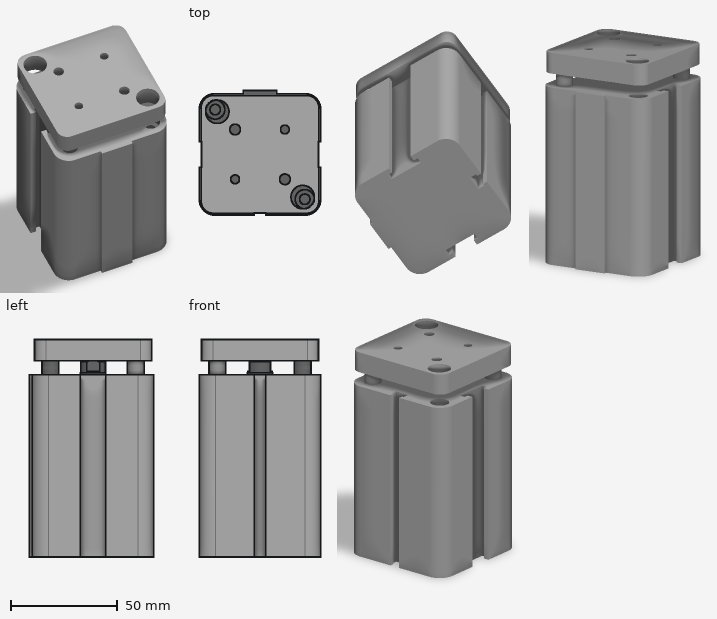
import cadquery as cq


HOUSING_SIDE = 57.0
HOUSING_HEIGHT = 85.5
HOUSING_CORNER_RADIUS = 7.5
RAIL_WIDTH = 15.7
RAIL_HEIGHT = 1.5

SLOT_DEPTH = 5.5
SIDE_SLOT_OPENING = 12.0
SIDE_SLOT_INNER_WIDTH = 16.5
SIDE_SLOT_LIP = 2.7
FRONT_SLOT_OPENING = 5.2
FRONT_SLOT_INNER_WIDTH = 7.2
FRONT_SLOT_LIP = 2.2

MOUNT_OFFSET = 21.0
MOUNT_HOLE_DIAMETER = 4.9
MOUNT_HOLE_DEPTH = 14.5
COUNTERBORE_DIAMETER = 9.0
COUNTERBORE_DEPTH = 5.5

PLATE_SIDE = 55.0
PLATE_THICKNESS = 10.0
PLATE_CORNER_RADIUS = 5.3
PLATE_GAP = 6.5
PLATE_BOTTOM = HOUSING_HEIGHT + PLATE_GAP
BOLT_CIRCLE_DIAMETER = 33.0
BOLT_OFFSET = BOLT_CIRCLE_DIAMETER / 2 / 2**0.5
THREADED_HOLE_DIAMETER = 5.0
DOWEL_HOLE_DIAMETER = 4.1

GUIDE_OFFSET = 20.0
GUIDE_ROD_DIAMETER = 8.0
ACCESS_HOLE_DIAMETER = 11.0

ROD_DIAMETER = 12.0
ROD_SHOULDER_HEIGHT = 1.0
ROD_NECK_DIAMETER = 11.7
ROD_FLATS_HEIGHT = 1.5
ROD_ACROSS_FLATS = 10.0
ROD_END_CHAMFER = 0.5


def rising_diagonal(offset):
    """Corners (-X, -Y) and (+X, +Y) of a square pattern."""
    return [(-offset, -offset), (offset, offset)]


def falling_diagonal(offset):
    """Corners (-X, +Y) and (+X, -Y) of a square pattern."""
    return [(-offset, offset), (offset, -offset)]


def rounded_block(side, height, corner_radius):
    block = cq.Workplane("XY").rect(side, side).extrude(height)
    return block.edges("|Z").fillet(corner_radius)


def t_slot(opening, inner_width, lip, angle):
    """T-slot cutter in the -Y wall, turned about Z by the angle in degrees."""
    wall = -HOUSING_SIDE / 2
    half_opening = opening / 2
    half_inner = inner_width / 2
    ledge = wall + lip
    floor = wall + SLOT_DEPTH
    outline = [
        (-half_opening, wall),
        (-half_opening, ledge),
        (-half_inner, ledge),
        (-half_inner, floor),
        (half_inner, floor),
        (half_inner, ledge),
        (half_opening, ledge),
        (half_opening, wall),
    ]
    cutter = cq.Workplane("XY").polyline(outline).close().extrude(HOUSING_HEIGHT)
    return cutter.rotate((0, 0, 0), (0, 0, 1), angle)


def make_housing():
    body = rounded_block(HOUSING_SIDE, HOUSING_HEIGHT, HOUSING_CORNER_RADIUS)

    rail_end = HOUSING_SIDE / 2 + RAIL_HEIGHT
    rail = cq.Workplane("XY").rect(RAIL_WIDTH, rail_end).extrude(HOUSING_HEIGHT)
    body = body.union(rail.translate((0, rail_end / 2, 0)))

    body = body.cut(t_slot(FRONT_SLOT_OPENING, FRONT_SLOT_INNER_WIDTH, FRONT_SLOT_LIP, 0))
    for angle in (-90, 90):
        body = body.cut(t_slot(SIDE_SLOT_OPENING, SIDE_SLOT_INNER_WIDTH, SIDE_SLOT_LIP, angle))

    return (
        body.faces(">Z")
        .workplane(origin=(0, 0, HOUSING_HEIGHT))
        .pushPoints(falling_diagonal(MOUNT_OFFSET))
        .cboreHole(MOUNT_HOLE_DIAMETER, COUNTERBORE_DIAMETER, COUNTERBORE_DEPTH, MOUNT_HOLE_DEPTH)
    )


def plate_holes(points, diameter):
    return (
        cq.Workplane("XY", origin=(0, 0, PLATE_BOTTOM))
        .pushPoints(points)
        .circle(diameter / 2)
        .extrude(PLATE_THICKNESS)
    )


def make_plate():
    plate = rounded_block(PLATE_SIDE, PLATE_THICKNESS, PLATE_CORNER_RADIUS)
    plate = plate.translate((0, 0, PLATE_BOTTOM))
    plate = plate.cut(plate_holes(falling_diagonal(GUIDE_OFFSET), ACCESS_HOLE_DIAMETER))
    plate = plate.cut(plate_holes(falling_diagonal(BOLT_OFFSET), THREADED_HOLE_DIAMETER))
    return plate.cut(plate_holes(rising_diagonal(BOLT_OFFSET), DOWEL_HOLE_DIAMETER))


def make_piston_rod():
    base = cq.Workplane("XY", origin=(0, 0, HOUSING_HEIGHT))
    shoulder = base.circle(ROD_DIAMETER / 2).extrude(ROD_SHOULDER_HEIGHT)
    neck = base.circle(ROD_NECK_DIAMETER / 2).extrude(PLATE_GAP)
    neck = neck.faces(">Z").chamfer(ROD_END_CHAMFER)

    flats_length = PLATE_GAP - ROD_FLATS_HEIGHT
    for side in (-1, 1):
        center = side * (ROD_ACROSS_FLATS + ROD_DIAMETER) / 2
        flat = (
            base.workplane(offset=ROD_FLATS_HEIGHT)
            .center(center, 0)
            .rect(ROD_DIAMETER, ROD_DIAMETER)
            .extrude(flats_length)
        )
        neck = neck.cut(flat)
    return shoulder.union(neck)


def make_slide():
    guide_rods = (
        cq.Workplane("XY", origin=(0, 0, HOUSING_HEIGHT))
        .pushPoints(rising_diagonal(GUIDE_OFFSET))
        .circle(GUIDE_ROD_DIAMETER / 2)
        .extrude(PLATE_GAP)
    )
    return make_plate().union(guide_rods).union(make_piston_rod())


housing = make_housing()
slide = make_slide()

result = cq.Compound.makeCompound([housing.val(), slide.val()])